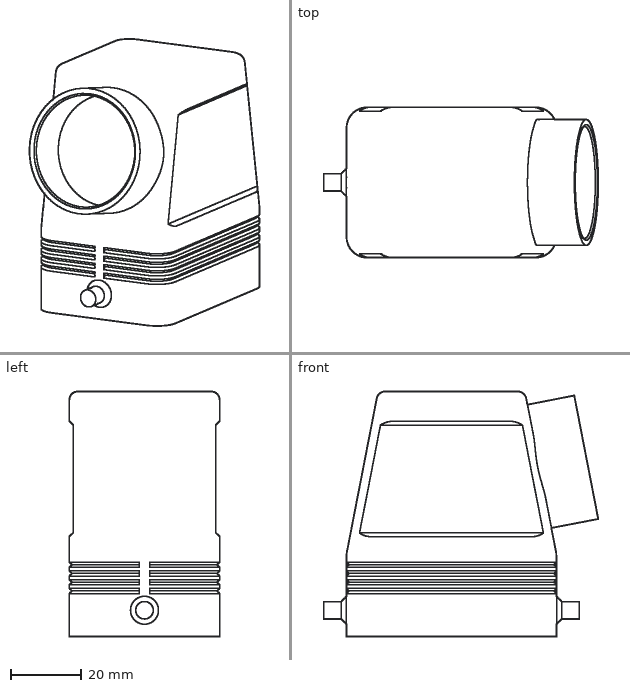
import cadquery as cq
import math

BODY_LENGTH = 60.0
BODY_WIDTH = 43.0
BODY_HEIGHT = 70.0
BEND_START_HEIGHT = 23.0
BEND_RADIUS = 6.2
SLOPE_ANGLE = math.radians(11.0)
CORNER_RADIUS = 6.0
TOP_EDGE_RADIUS = 2.5

RECESS_DEPTH = 1.1
RECESS_BOTTOM = 28.5
RECESS_TOP = 61.5

GROOVE_COUNT = 4
GROOVE_PITCH = 2.5
GROOVE_DEPTH = 0.75
LOWEST_GROOVE_HEIGHT = 13.0
GROOVE_GAP = 3.0

PEG_HEIGHT = 7.5
PEG_RADIUS = 2.5
PEG_BASE_RADIUS = 4.0
PEG_CONE_LENGTH = 1.5
PEG_SPAN = 73.0
PEG_ROOT_DEPTH = 1.0

COLLAR_RADIUS = 18.0
COLLAR_BORE_RADIUS = 16.0
COLLAR_BORE_CHAMFER = 0.5
COLLAR_REACH = 41.95
COLLAR_END_HEIGHT = 51.2

HALF_LENGTH = BODY_LENGTH / 2
HALF_WIDTH = BODY_WIDTH / 2


def bend_point(angle):
    """Point on the rounded bend of the +X wall, at an angle above horizontal."""
    x = HALF_LENGTH - BEND_RADIUS * (1 - math.cos(angle))
    z = BEND_START_HEIGHT + BEND_RADIUS * math.sin(angle)
    return x, z


BEND_END_X, BEND_END_Z = bend_point(SLOPE_ANGLE)


def wall_x(height):
    """X of the sloped +X wall at a height above the bend."""
    return BEND_END_X - (height - BEND_END_Z) * math.tan(SLOPE_ANGLE)


def mirrored(point):
    """Matching point on the -X wall."""
    return -point[0], point[1]


def make_body():
    """Box with tapered upper end walls and rounded corners and top edges."""
    bend_middle = bend_point(SLOPE_ANGLE / 2)
    bend_end = (BEND_END_X, BEND_END_Z)
    top_corner = (wall_x(BODY_HEIGHT), BODY_HEIGHT)
    bend_start = (HALF_LENGTH, BEND_START_HEIGHT)
    body = (
        cq.Workplane("XZ")
        .moveTo(-HALF_LENGTH, 0)
        .lineTo(HALF_LENGTH, 0)
        .lineTo(*bend_start)
        .threePointArc(bend_middle, bend_end)
        .lineTo(*top_corner)
        .lineTo(*mirrored(top_corner))
        .lineTo(*mirrored(bend_end))
        .threePointArc(mirrored(bend_middle), mirrored(bend_start))
        .close()
        .extrude(HALF_WIDTH, both=True)
    )
    corner_edges = body.faces("<Y or >Y").edges("not #Z")
    body = corner_edges.fillet(CORNER_RADIUS)
    return body.faces(">Z").edges().fillet(TOP_EDGE_RADIUS)


def make_recess(side):
    """Chamfer-ended channel running along X; side is +1 or -1 along Y."""
    outer = side * HALF_WIDTH
    floor = side * (HALF_WIDTH - RECESS_DEPTH)
    return (
        cq.Workplane("YZ")
        .polyline([
            (outer, RECESS_BOTTOM),
            (floor, RECESS_BOTTOM + RECESS_DEPTH),
            (floor, RECESS_TOP - RECESS_DEPTH),
            (outer, RECESS_TOP),
        ])
        .close()
        .extrude(HALF_LENGTH, both=True)
    )


def base_outline(inset):
    """Rounded-rectangle outline of the base, shrunk by an inset."""
    return (
        cq.Sketch()
        .rect(BODY_LENGTH - 2 * inset, BODY_WIDTH - 2 * inset)
        .vertices()
        .fillet(CORNER_RADIUS - inset)
    )


def make_groove(height):
    """V-shaped ring around the base, left uncut at the middle of each end face."""
    groove_height = 2 * GROOVE_DEPTH
    outline = base_outline(0)
    waist = base_outline(GROOVE_DEPTH)
    ring = cq.Workplane("XY").box(BODY_LENGTH, BODY_WIDTH, groove_height)
    for side in (1, -1):
        rim = outline.moved(cq.Location(cq.Vector(0, 0, side * GROOVE_DEPTH)))
        ring = ring.cut(cq.Workplane("XY").placeSketch(waist, rim).loft())
    gap = cq.Workplane("XY").box(BODY_LENGTH, GROOVE_GAP, groove_height)
    ring = ring.cut(gap)
    return ring.translate((0, 0, height))


def make_peg(side):
    """Round peg with a conical root; side is +1 or -1 along X."""
    tip = PEG_SPAN / 2
    cone_end = HALF_LENGTH + PEG_CONE_LENGTH
    peg = (
        cq.Workplane("XY")
        .polyline([
            (HALF_LENGTH - PEG_ROOT_DEPTH, 0),
            (tip, 0),
            (tip, PEG_RADIUS),
            (cone_end, PEG_RADIUS),
            (HALF_LENGTH, PEG_BASE_RADIUS),
            (HALF_LENGTH - PEG_ROOT_DEPTH, PEG_BASE_RADIUS),
        ])
        .close()
        .revolve(360, (0, 0, 0), (1, 0, 0))
    )
    if side < 0:
        peg = peg.mirror("YZ")
    return peg.translate((0, 0, PEG_HEIGHT))


COLLAR_END_X = COLLAR_REACH - COLLAR_RADIUS * math.sin(SLOPE_ANGLE)
COLLAR_LENGTH = (COLLAR_END_X - wall_x(COLLAR_END_HEIGHT)) * math.cos(SLOPE_ANGLE)
COLLAR_PLANE = cq.Plane(
    origin=(COLLAR_END_X, 0, COLLAR_END_HEIGHT),
    xDir=(0, 1, 0),
    normal=(math.cos(SLOPE_ANGLE), 0, math.sin(SLOPE_ANGLE)),
)


def make_collar():
    """Collar cylinder, sunk into the body far enough to meet the rounded corners."""
    return cq.Workplane(COLLAR_PLANE).circle(COLLAR_RADIUS).extrude(-(COLLAR_LENGTH + CORNER_RADIUS))


def make_collar_bore():
    """Bore that ends at the sloped wall, with a chamfered mouth."""
    mouth_radius = COLLAR_BORE_RADIUS + COLLAR_BORE_CHAMFER
    bore = cq.Workplane(COLLAR_PLANE).circle(COLLAR_BORE_RADIUS).extrude(-COLLAR_LENGTH)
    mouth = (
        cq.Workplane(COLLAR_PLANE)
        .circle(mouth_radius)
        .workplane(offset=-COLLAR_BORE_CHAMFER)
        .circle(COLLAR_BORE_RADIUS)
        .loft()
    )
    return bore.union(mouth)


result = make_body()
for side in (1, -1):
    result = result.cut(make_recess(side))
for index in range(GROOVE_COUNT):
    result = result.cut(make_groove(LOWEST_GROOVE_HEIGHT + index * GROOVE_PITCH))
for side in (1, -1):
    result = result.union(make_peg(side))
result = result.union(make_collar()).cut(make_collar_bore())